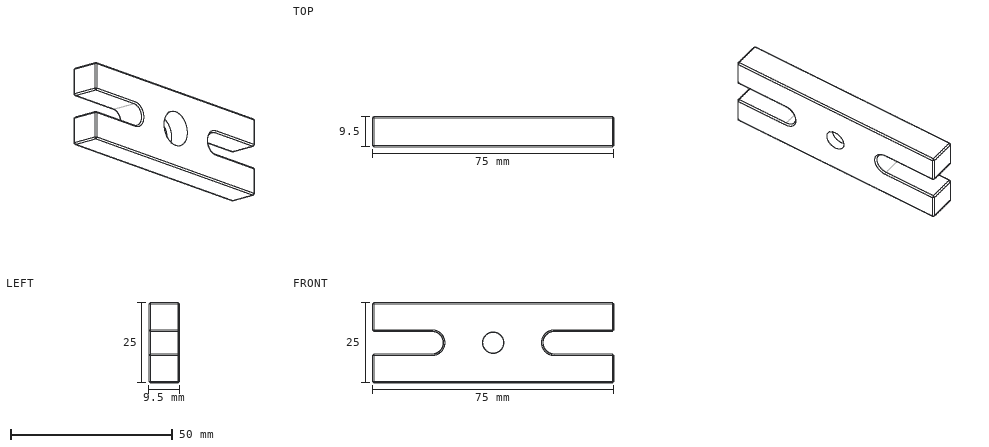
import cadquery as cq

length = 75.0
thickness = 9.5
height = 25.0
edge_chamfer = 0.5

slot_width = 7.0
slot_depth = 22.0

hole_diameter = 6.5
counterbore_diameter = 11.0
counterbore_depth = 6.5


def make_plate():
    """Plain rectangular plate centred on the origin."""
    return cq.Workplane("XY").box(length, thickness, height)


def make_slot(side):
    """Round-bottomed slot through the thickness, open at the end given by side (-1 or +1)."""
    slot_radius = slot_width / 2
    mouth_x = side * length / 2
    round_center_x = side * (length / 2 - slot_depth + slot_radius)
    bottom_x = side * (length / 2 - slot_depth)
    return (
        cq.Workplane("XZ")
        .moveTo(mouth_x, slot_radius)
        .lineTo(round_center_x, slot_radius)
        .threePointArc((bottom_x, 0), (round_center_x, -slot_radius))
        .lineTo(mouth_x, -slot_radius)
        .close()
        .extrude(thickness / 2, both=True)
    )


def make_screw_hole():
    """Through hole at the plate centre, widened by a flat-bottomed counterbore at the back."""
    front_face = cq.Workplane("XZ", origin=(0, -thickness / 2, 0))
    back_face = cq.Workplane("XZ", origin=(0, thickness / 2, 0))
    hole = front_face.circle(hole_diameter / 2).extrude(-thickness)
    counterbore = back_face.circle(counterbore_diameter / 2).extrude(counterbore_depth)
    return hole.union(counterbore)


body = make_plate()
for side in (-1, 1):
    body = body.cut(make_slot(side))

body = body.faces("<Y or >Y or <X or >X").edges().chamfer(edge_chamfer)

result = body.cut(make_screw_hole())